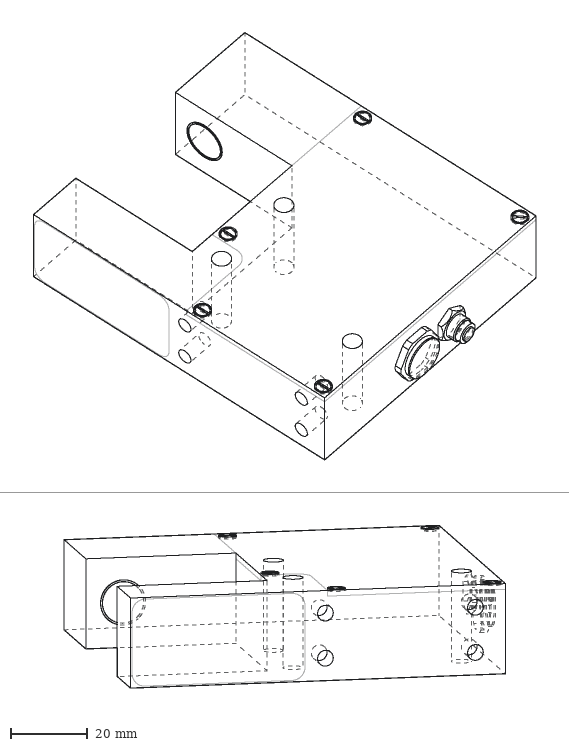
import cadquery as cq

total_length = 107.0
body_length = 100.0
body_depth = 85.0
body_height = 24.0
mid_height = body_height / 2

gap_length = 40.0
gap_start = 17.0
gap_width = 40.0
gap_end = gap_start + gap_width

cover_thickness = 1.5
notch_right = 52.5
notch_top = 24.9
notch_radius = 4.0

mount_diameter = 5.2
mount_left = 47.5
mount_right = 92.5
mount_front = 20.0
mount_back = 45.0
mount_points = [(mount_left, mount_front), (mount_right, mount_front), (mount_left, mount_back)]

side_diameter = 4.2
side_depth = 8.0
side_tip = 1.3
side_x = (52.0, 92.0)
side_spacing = 12.0

screw_outer = 4.7
screw_head = 4.0
screw_groove_depth = 0.5
screw_slot_width = 0.5
screw_edge = 3.0
screw_left = gap_length + screw_edge
screw_right = body_length - screw_edge
screw_back = body_depth - screw_edge
turned_slot = 35.0
screws = [
    (screw_left, screw_back, 0.0),
    (screw_right, screw_back, turned_slot),
    (screw_left, notch_top + screw_edge, 0.0),
    (notch_right + screw_edge, screw_edge, 0.0),
    (screw_right, screw_edge, 0.0),
]

window_outer = 12.0
window_inner = 11.0
window_groove_depth = 0.2
window_x = 10.0

panel_margin = 0.4
panel_right = 46.5
panel_radius = 3.4
panel_thickness = 1.1

nut_thickness = 2.0
plug_y = 36.0
plug_nut_flats = 14.0
plug_nut_turned = 15.2
plug_nut_angle = 30.0
plug_diameter = 12.0
plug_length = 3.6
plug_rim_diameter = 12.1
plug_rim_width = 0.4
socket_y = 50.0
socket_nut_flats = 9.0
socket_nut_turned = 10.4
socket_nut_chamfer = 0.9
socket_barrel_diameter = 7.0
socket_barrel_end = 4.8
socket_barrel_chamfer = 0.3
socket_neck_diameter = 6.0
socket_neck_end = 6.4
socket_tip_diameter = 4.2
socket_tip_end = total_length - body_length


def box(x0, y0, z0, x1, y1, z1):
    """Axis-aligned block between two opposite corners."""
    return cq.Workplane("XY").box(x1 - x0, y1 - y0, z1 - z0, centered=False).translate((x0, y0, z0))


def make_body():
    body = box(0, 0, 0, body_length, body_depth, body_height)
    return body.cut(box(0, gap_start, 0, gap_length, gap_end, body_height))


def make_cover():
    base = body_height - cover_thickness
    cover = box(gap_length, 0, base, body_length, body_depth, body_height)
    notch = box(0, 0, base, notch_right, notch_top, body_height)
    notch = notch.edges("|Z and >X and >Y").fillet(notch_radius)
    return cover.cut(notch)


def make_panel():
    panel = box(panel_margin, 0, panel_margin, panel_right, panel_thickness, body_height - panel_margin)
    return panel.edges("|Y").fillet(panel_radius)


def ring_groove(plane, outer, inner, depth):
    """Ring-shaped cutter sunk below the given face plane."""
    return cq.Workplane(plane).circle(outer / 2).circle(inner / 2).extrude(-depth)


def screw_cut(x, y, angle):
    """Gap around a flush screw head together with its driver slot."""
    cut = ring_groove("XY", screw_outer, screw_head, screw_groove_depth)
    slot = cq.Workplane("XY").rect(screw_head, screw_slot_width).extrude(-screw_groove_depth)
    return cut.union(slot).rotate((0, 0, 0), (0, 0, 1), angle).translate((x, y, body_height))


def side_hole(x, z):
    """Drilled hole cutter with a conical bottom, entering from the Y = 0 face."""
    radius = side_diameter / 2
    profile = [(0, 0), (radius, 0), (radius, side_depth), (0, side_depth + side_tip)]
    return cq.Workplane("XY").polyline(profile).close().revolve(360, (0, 0), (0, 1)).translate((x, 0, z))


def end_cylinder(y, diameter, start, end):
    """Cylinder on the end face at mid height, between two distances from that face."""
    plane = cq.Workplane("YZ", origin=(body_length + start, y, mid_height))
    return plane.circle(diameter / 2).extrude(end - start)


def hexagon(y, flats):
    """Hexagonal prism on the end face with two corners pointing along Z."""
    plane = cq.Workplane("YZ", origin=(body_length, y, mid_height))
    return plane.polygon(6, flats, circumscribed=True).extrude(nut_thickness)


def make_plug():
    nut = hexagon(plug_y, plug_nut_flats)
    nut = nut.rotate((0, plug_y, mid_height), (1, plug_y, mid_height), plug_nut_angle)
    nut = nut.intersect(end_cylinder(plug_y, plug_nut_turned, 0, nut_thickness))
    barrel = end_cylinder(plug_y, plug_diameter, 0, plug_length)
    rim = end_cylinder(plug_y, plug_rim_diameter, plug_length - plug_rim_width, plug_length)
    return nut.union(barrel).union(rim)


def make_socket():
    blank = end_cylinder(socket_y, socket_nut_turned, 0, nut_thickness)
    nut = hexagon(socket_y, socket_nut_flats).intersect(blank.faces(">X").chamfer(socket_nut_chamfer))
    barrel = end_cylinder(socket_y, socket_barrel_diameter, 0, socket_barrel_end)
    barrel = barrel.faces(">X").chamfer(socket_barrel_chamfer)
    neck = end_cylinder(socket_y, socket_neck_diameter, 0, socket_neck_end)
    tip = end_cylinder(socket_y, socket_tip_diameter, 0, socket_tip_end)
    return nut.union(barrel).union(neck).union(tip)


cover = make_cover()
panel = make_panel()
result = make_body().cut(cover).cut(panel)
result = result.union(make_plug()).union(make_socket())
result = result.union(cover, clean=False).union(panel, clean=False)

for x, y in mount_points:
    hole = cq.Workplane("XY").center(x, y).circle(mount_diameter / 2).extrude(body_height)
    result = result.cut(hole, clean=False)

for x in side_x:
    for z in (mid_height - side_spacing / 2, mid_height + side_spacing / 2):
        result = result.cut(side_hole(x, z), clean=False)

for x, y, angle in screws:
    result = result.cut(screw_cut(x, y, angle), clean=False)

window = ring_groove("XZ", window_outer, window_inner, window_groove_depth)
result = result.cut(window.translate((window_x, gap_end, mid_height)), clean=False)